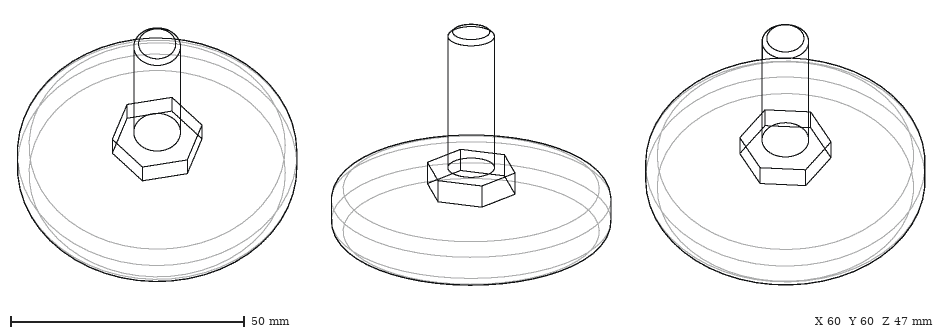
import cadquery as cq
import math

pad_diameter = 60
pad_height = 10.0
pad_edge_radius = 2.5

nut_across_flats = 17.0
nut_height = 5.0
nut_across_corners = nut_across_flats / math.cos(math.radians(30))

overall_height = 47.0
stud_diameter = 10.0
stud_chamfer = 1.0
stud_height = overall_height - pad_height


def make_pad():
    """Disc with both rims rounded, resting on Z = 0."""
    disc = cq.Workplane("XY").circle(pad_diameter / 2).extrude(pad_height)
    return disc.edges("%CIRCLE").fillet(pad_edge_radius)


def make_nut():
    """Hexagon with two corners on the X axis."""
    outline = cq.Workplane("XY").workplane(offset=pad_height).polygon(6, nut_across_corners)
    return outline.extrude(nut_height)


def make_stud():
    """Plain cylinder with a chamfered tip."""
    base = cq.Workplane("XY").workplane(offset=pad_height)
    stud = base.circle(stud_diameter / 2).extrude(stud_height)
    return stud.faces(">Z").edges().chamfer(stud_chamfer)


result = make_pad().union(make_nut()).union(make_stud())